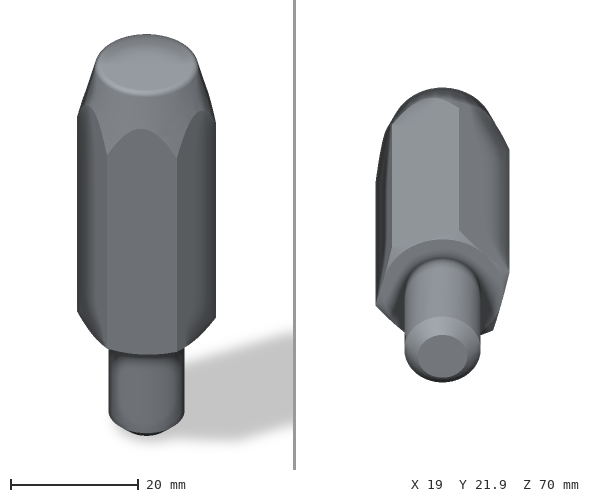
import cadquery as cq
import math

total_length = 70.0
across_flats = 19.0
stud_diameter = 12.0
stud_length = 20.0
stud_chamfer = 2.1
nose_top_diameter = 15.8
nose_half_angle = 15.0
nose_rounding = 1.0
base_chamfer_angle = 30.0

across_corners = across_flats / math.cos(math.radians(30))
flat_radius = across_flats / 2
corner_radius = across_corners / 2
nose_top_radius = nose_top_diameter / 2
nose_height = (corner_radius - nose_top_radius) / math.tan(math.radians(nose_half_angle))
base_chamfer_height = (corner_radius - flat_radius) * math.tan(math.radians(base_chamfer_angle))


def hex_prism():
    """Hexagonal bar with two corners on the Y axis."""
    return (
        cq.Workplane("XY")
        .workplane(offset=stud_length)
        .transformed(rotate=(0, 0, 90))
        .polygon(6, across_corners)
        .extrude(total_length - stud_length)
    )


def turned_envelope():
    """Turned shape that cuts the conical nose and the base chamfer on the bar."""
    envelope = (
        cq.Workplane("XZ")
        .moveTo(0, stud_length)
        .lineTo(flat_radius, stud_length)
        .lineTo(corner_radius, stud_length + base_chamfer_height)
        .lineTo(corner_radius, total_length - nose_height)
        .lineTo(nose_top_radius, total_length)
        .lineTo(0, total_length)
        .close()
        .revolve(360, (0, 0, 0), (0, 1, 0))
    )
    return envelope.faces(">Z").edges().fillet(nose_rounding)


def stud():
    """Round stud with a chamfered free end."""
    return (
        cq.Workplane("XY")
        .circle(stud_diameter / 2)
        .extrude(stud_length)
        .faces("<Z")
        .chamfer(stud_chamfer)
    )


result = hex_prism().intersect(turned_envelope()).union(stud())